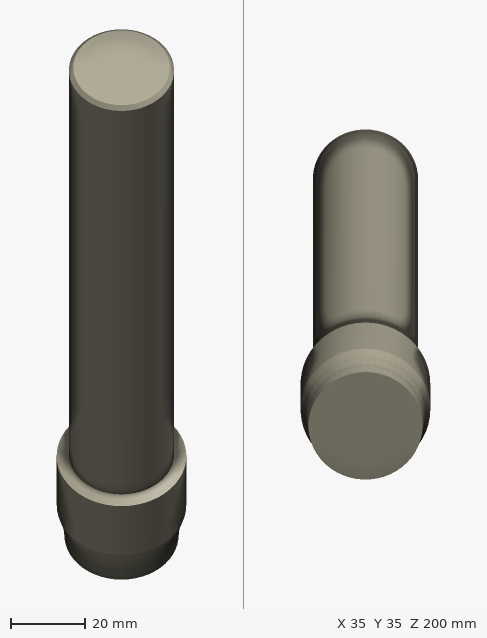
import cadquery as cq

total_length = 200.0
shaft_radius = 14.2
collar_diameter = 35.0
collar_radius = collar_diameter / 2

end_chamfer_width = 1.2
end_chamfer_height = 1.0

collar_height = 35.0
shoulder_drop = 1.0
taper_height = 13.0
shoulder_height = collar_height - shoulder_drop

nose_radius = 15.5
nose_hollow = 0.52


def make_shaft():
    """Round shaft running the full length, with a chamfered top end."""
    return (
        cq.Workplane("YZ")
        .lineTo(shaft_radius, 0)
        .lineTo(shaft_radius, total_length - end_chamfer_height)
        .lineTo(shaft_radius - end_chamfer_width, total_length)
        .lineTo(0, total_length)
        .close()
        .revolve(360, (0, 0, 0), (0, 1, 0))
    )


def make_collar():
    """Sleeve around the shaft, with a conical shoulder and a hollow tapered nose."""
    middle_of_nose = (
        (nose_radius + collar_radius) / 2 - nose_hollow,
        taper_height / 2,
    )
    return (
        cq.Workplane("YZ")
        .moveTo(shaft_radius, 0)
        .lineTo(nose_radius, 0)
        .threePointArc(middle_of_nose, (collar_radius, taper_height))
        .lineTo(collar_radius, shoulder_height)
        .lineTo(shaft_radius, collar_height)
        .close()
        .revolve(360, (0, 0, 0), (0, 1, 0))
    )


shaft = make_shaft()
collar = make_collar()

result = cq.Compound.makeCompound([shaft.val(), collar.val()])